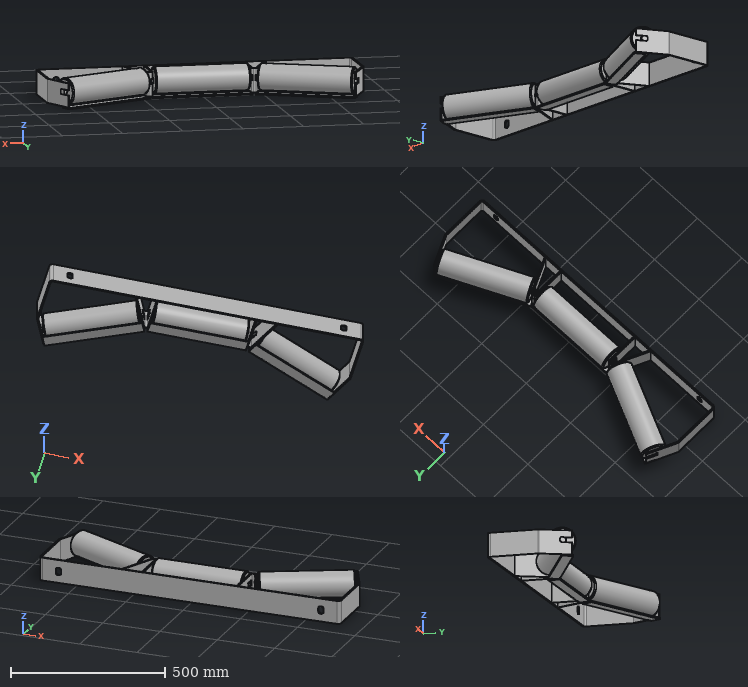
import cadquery as cq
import math

frame_length = 1050.0
overall_height = 98.0

sheet = 5.0
strip_height = 80.0

strip_bottom = sheet

barrel_radius = 44.0
barrel_half_length = 158.0
barrel_edge_chamfer = 4.0
shaft_radius = 10.0
shaft_flat_height = 17.0
strip_gap = 5.0
inner_face_offset = barrel_half_length + strip_gap
outer_face_offset = inner_face_offset + sheet
roller_axis_z = overall_height - barrel_radius

trough_angle = 25.0
center_roller_y = 101.0
side_roller_x = 338.0
side_roller_y = 176.0

fold_radius = 6.0

frame_end_y = 274.0
frame_corner_radius = 12.0
mount_slot_x = 458.0
mount_slot_width = 19.0
mount_slot_height = 26.0

bracket_top_y = 127.0

plate_half_length = 165.0
plate_front = -3.7
plate_width = 38.0

tilt = math.radians(trough_angle)
sin_tilt = math.sin(tilt)
cos_tilt = math.cos(tilt)
tan_tilt = math.tan(tilt)

roller_places = [
    (-side_roller_x, side_roller_y, -trough_angle),
    (0, center_roller_y, 0),
    (side_roller_x, side_roller_y, trough_angle),
]


def place(body, x, y, angle):
    """Move a body modelled along X about the origin to a roller place."""
    return body.rotate((0, 0, 0), (0, 0, 1), angle).translate((x, y, 0))


def along_x(radius, half_length):
    """Cylinder on the roller axis, centred at X = 0."""
    return (
        cq.Workplane("YZ", origin=(-half_length, 0, roller_axis_z))
        .circle(radius)
        .extrude(2 * half_length)
    )


def make_shaft():
    """Shaft with flats on top and underneath."""
    flats = cq.Workplane("XY", origin=(0, 0, roller_axis_z)).box(
        2 * outer_face_offset, 2 * shaft_radius, shaft_flat_height
    )
    return along_x(shaft_radius, outer_face_offset).intersect(flats)


def make_roller():
    barrel = along_x(barrel_radius, barrel_half_length)
    barrel = barrel.faces("<X or >X").chamfer(barrel_edge_chamfer)
    return barrel.union(make_shaft())


def make_shaft_slots():
    """Cutter for the two slots into which a shaft drops from the back."""
    openings = cq.Workplane("XY", origin=(0, 0, roller_axis_z)).box(
        2 * outer_face_offset, barrel_radius, shaft_flat_height, centered=(True, False, True)
    )
    return make_shaft().union(openings)


def make_support_plate():
    """Flat plate under the strips at both ends of a roller."""
    return (
        cq.Workplane("XY", origin=(0, plate_front, 0))
        .box(2 * plate_half_length, plate_width, sheet, centered=(True, False, False))
    )


def round_upright_edges(strip, x, y, radius):
    """Round the upright edge at (x, y) and its mirror image at (-x, y)."""
    for corner_x in (-x, x):
        edge_middle = (corner_x, y, strip_bottom + strip_height / 2)
        edge = cq.selectors.NearestToPointSelector(edge_middle)
        strip = strip.edges("|Z").edges(edge).fillet(radius)
    return strip


def make_frame():
    """Bent strip: long front wall, two side walls and two ends leaning in square to the side rollers."""
    half_length = frame_length / 2
    shaft_end_x = side_roller_x + outer_face_offset * cos_tilt
    shaft_end_y = side_roller_y + outer_face_offset * sin_tilt
    bend_y = shaft_end_y - (half_length - shaft_end_x) / tan_tilt
    inner_bend_y = bend_y - sheet * math.tan(tilt / 2)
    end_x = half_length - (frame_end_y - bend_y) * tan_tilt
    right_half = [
        (half_length, 0),
        (half_length, bend_y),
        (end_x, frame_end_y),
        (end_x - sheet * cos_tilt, frame_end_y - sheet * sin_tilt),
        (half_length - sheet, inner_bend_y),
        (half_length - sheet, sheet),
    ]
    left_half = [(-x, y) for x, y in reversed(right_half)]
    frame = (
        cq.Workplane("XY", origin=(0, 0, strip_bottom))
        .polyline(right_half + left_half)
        .close()
        .extrude(strip_height)
    )
    frame = round_upright_edges(frame, half_length, 0, frame_corner_radius)
    frame = round_upright_edges(frame, half_length - sheet, sheet, frame_corner_radius - sheet)
    frame = round_upright_edges(frame, half_length, bend_y, fold_radius)
    frame = round_upright_edges(frame, half_length - sheet, inner_bend_y, fold_radius - sheet)

    mount_slots = (
        cq.Workplane("XZ", origin=(0, 0, strip_bottom + strip_height / 2))
        .pushPoints([(-mount_slot_x, 0), (mount_slot_x, 0)])
        .slot2D(mount_slot_height, mount_slot_width, 90)
        .extrude(-sheet)
    )
    return frame.cut(mount_slots)


def make_left_bracket():
    """Folded strip with one leg square to the left roller and one square to the centre roller."""
    contact_x = -side_roller_x + inner_face_offset * cos_tilt
    contact_y = side_roller_y - inner_face_offset * sin_tilt

    def folded_outline(inset, top_y):
        """Four-sided block bounded by both legs' faces, set in by the given amount."""

        def leaning_face_x(y):
            return contact_x + (y - contact_y) * tan_tilt + inset / cos_tilt

        upright_x = -inner_face_offset - inset
        return (
            cq.Workplane("XY", origin=(0, 0, strip_bottom))
            .polyline(
                [
                    (leaning_face_x(sheet), sheet),
                    (leaning_face_x(top_y), top_y),
                    (upright_x, top_y),
                    (upright_x, sheet),
                ]
            )
            .close()
            .extrude(strip_height)
        )

    outside = folded_outline(0, bracket_top_y).faces(">Y").edges("|Z").fillet(fold_radius)
    inside = folded_outline(sheet, bracket_top_y - sheet)
    inside = inside.faces(">Y").edges("|Z").fillet(fold_radius - sheet)
    return outside.cut(inside)


rollers = []
support_plates = []
frame = make_frame()
left_bracket = make_left_bracket()
brackets = [left_bracket, left_bracket.mirror("YZ")]

for spot in roller_places:
    rollers.append(place(make_roller(), *spot))
    support_plates.append(place(make_support_plate(), *spot))
    shaft_slots = place(make_shaft_slots(), *spot)
    frame = frame.cut(shaft_slots)
    brackets = [bracket.cut(shaft_slots) for bracket in brackets]

bodies = [frame, *brackets, *rollers, *support_plates]
result = cq.Compound.makeCompound([body.solids().val() for body in bodies])